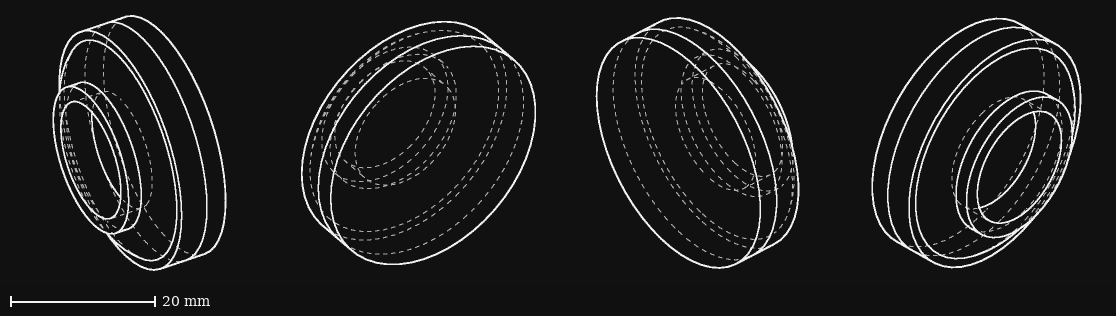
import cadquery as cq
import math

outer_radius = 17.35
total_depth = 12.0
crown_height = 0.3
crown_crest_radius = 15.27
cap_rim_depth = 3.0
housing_rim_depth = 4.03
dome_radius = 16.0
shoulder_crest_radius = 11.0
boss_radius = 10.7
boss_length = 2.0
bore_radius = 8.5
bore_depth = 4.93

boss_back = boss_length
rim_back = total_depth - crown_height
joint = rim_back - cap_rim_depth
flange_face = joint - housing_rim_depth


def arc_midpoint(crest_radius, edge_radius, crest_y, edge_y):
    """Middle of the profile arc whose slope is zero at the crest and ends at an outer edge."""
    run = edge_radius - crest_radius
    rise = abs(edge_y - crest_y)
    arc_radius = (run**2 + rise**2) / (2 * rise)
    half_angle = math.atan2(rise, run)
    direction = math.copysign(1, edge_y - crest_y)
    middle_radius = crest_radius + arc_radius * math.sin(half_angle)
    middle_y = crest_y + direction * arc_radius * (1 - math.cos(half_angle))
    return middle_radius, middle_y


def revolve_about_y(profile):
    return profile.close().revolve(360, (0, 0, 0), (0, 1, 0))


def make_housing():
    """Flanged housing with a rounded shoulder, a front boss and a blind bore."""
    shoulder_middle = arc_midpoint(shoulder_crest_radius, dome_radius, boss_back, flange_face)
    profile = (
        cq.Workplane("XY")
        .moveTo(0, bore_depth)
        .lineTo(bore_radius, bore_depth)
        .lineTo(bore_radius, 0)
        .lineTo(boss_radius, 0)
        .lineTo(boss_radius, boss_back)
        .threePointArc(shoulder_middle, (dome_radius, flange_face))
        .lineTo(outer_radius, flange_face)
        .lineTo(outer_radius, joint)
        .lineTo(0, joint)
    )
    return revolve_about_y(profile)


def make_cap():
    """Disc closing the back of the housing, with a slightly crowned edge."""
    crown_middle = arc_midpoint(crown_crest_radius, outer_radius, total_depth, rim_back)
    profile = (
        cq.Workplane("XY")
        .moveTo(0, joint)
        .lineTo(outer_radius, joint)
        .lineTo(outer_radius, rim_back)
        .threePointArc(crown_middle, (crown_crest_radius, total_depth))
        .lineTo(0, total_depth)
    )
    return revolve_about_y(profile)


housing = make_housing()
cap = make_cap()
result = cq.Compound.makeCompound([housing.val(), cap.val()])